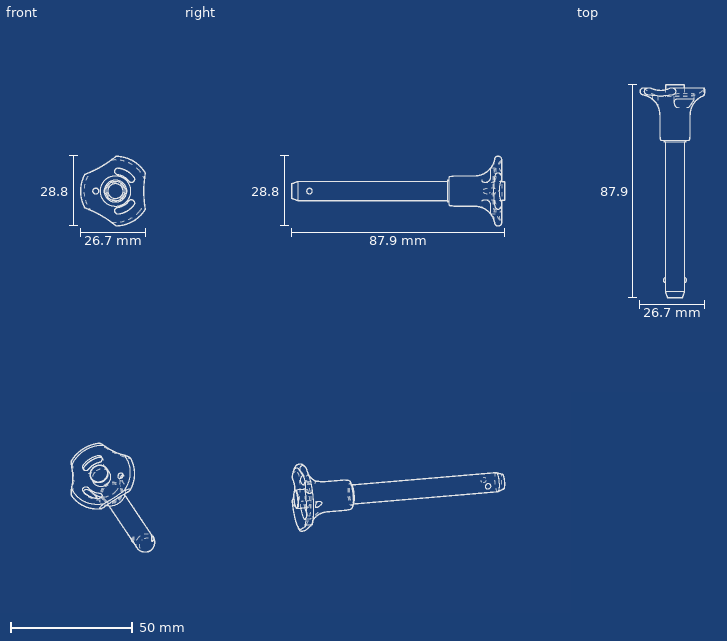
import cadquery as cq
import math


total_length = 87.9
rim_back = 1.4
rim_thickness = 3.0
bell_end = 12.6
collar_taper_start = 21.0
collar_end = 23.2
collar_rounding = 0.6
flange_end = 23.7
ball_position = 80.6
tip_length = 2.55

rim_radius = 14.4
collar_radius = 12.6 / 2
collar_taper_radius = 6.1
flange_radius = 4.6
shaft_radius = 8.0 / 2
tip_radius = 3.1
button_radius = 3.9
button_chamfer = 0.3

dish_middle_radius = 11.7
dish_middle_depth = 1.05
dish_floor_radius = 6.6
dish_floor_depth = 3.5

lobe_count = 3
lobe_pitch = 360 / lobe_count
scallop_half_angle = 31.4
scallop_floor = 11.7
slot_angles = (60, -60)
slot_radius = 8.2
slot_width = 2.6
slot_half_angle = 23.0
hole_offset = 8.1
hole_diameter = 2.4

ball_radius = 1.2
ball_offset = 3.5


def polar(radius, degrees):
    """Point at a radius and an angle measured from +X towards +Z."""
    angle = math.radians(degrees)
    return radius * math.cos(angle), radius * math.sin(angle)


def along_pin(sketch_offset=0):
    """Workplane facing -Y, with local x along X and local y along Z."""
    return cq.Workplane("XZ", origin=(0, -sketch_offset, 0))


def disc(radius, start, end):
    return along_pin(start).circle(radius).extrude(end - start)


def turned_handle():
    """Collar and flared bell with a full-round rim and a hollow back."""
    rim_round = rim_thickness / 2
    rim_edge = rim_radius - rim_round
    rim_front = rim_back + rim_thickness
    flare_width = rim_edge - collar_radius
    flare_height = bell_end - rim_front
    flare_radius = (flare_width**2 + flare_height**2) / (2 * flare_width)
    flare_sweep = math.asin(flare_height / flare_radius)
    flare_middle = (
        collar_radius + flare_radius * (1 - math.cos(flare_sweep / 2)),
        -bell_end + flare_radius * math.sin(flare_sweep / 2),
    )
    rounding_start = collar_end - collar_rounding
    dish_floor = rim_back + dish_floor_depth
    return (
        cq.Workplane("XY")
        .moveTo(0, -dish_floor)
        .lineTo(dish_floor_radius, -dish_floor)
        .threePointArc((dish_middle_radius, -rim_back - dish_middle_depth), (rim_edge, -rim_back))
        .threePointArc((rim_radius, -rim_back - rim_round), (rim_edge, -rim_front))
        .threePointArc(flare_middle, (collar_radius, -bell_end))
        .lineTo(collar_radius, -collar_taper_start)
        .lineTo(collar_taper_radius, -rounding_start)
        .tangentArcPoint((collar_taper_radius - collar_rounding, -collar_end), relative=False)
        .lineTo(0, -collar_end)
        .close()
        .revolve(360, (0, 0, 0), (0, 1, 0))
    )


def scallop(center_angle):
    """Cutter with a shallow convex face that hollows the rim between two lobes."""
    corner_x, corner_z = polar(rim_radius, scallop_half_angle)
    outside = 2 * rim_radius
    return (
        along_pin()
        .moveTo(corner_x, -corner_z)
        .threePointArc((scallop_floor, 0), (corner_x, corner_z))
        .lineTo(outside, corner_z)
        .lineTo(outside, -corner_z)
        .close()
        .extrude(bell_end)
        .rotate((0, 0, 0), (0, 1, 0), center_angle)
    )


def curved_slot(center_angle):
    """Arc-shaped slot cutter, concentric with the pin and round at both ends."""
    inner = slot_radius - slot_width / 2
    outer = slot_radius + slot_width / 2
    start = center_angle - slot_half_angle
    end = center_angle + slot_half_angle
    slot = (
        along_pin()
        .moveTo(*polar(inner, start))
        .threePointArc(polar(inner, center_angle), polar(inner, end))
        .lineTo(*polar(outer, end))
        .threePointArc(polar(outer, center_angle), polar(outer, start))
        .close()
        .extrude(bell_end)
    )
    ends = [polar(slot_radius, start), polar(slot_radius, end)]
    return slot.union(along_pin().pushPoints(ends).circle(slot_width / 2).extrude(bell_end))


def handle():
    body = turned_handle()
    for index in range(lobe_count):
        body = body.cut(scallop(index * lobe_pitch))
    for angle in slot_angles:
        body = body.cut(curved_slot(angle))
    lanyard_hole = along_pin().center(-hole_offset, 0).circle(hole_diameter / 2).extrude(bell_end)
    return body.cut(lanyard_hole)


def push_button():
    button = disc(button_radius, 0, bell_end)
    return button.faces(">Y").chamfer(button_chamfer)


def shaft():
    """Shaft and its flange, with a conical tip and a locking ball on each side."""
    pin = disc(shaft_radius, bell_end, total_length)
    pin = pin.faces("<Y").chamfer(tip_length, shaft_radius - tip_radius)
    pin = pin.union(disc(flange_radius, bell_end, flange_end))
    for side in (-1, 1):
        center = (side * ball_offset, -ball_position, 0)
        pin = pin.union(cq.Workplane("XY", origin=center).sphere(ball_radius))
    return pin


result = handle().union(push_button()).union(shaft())